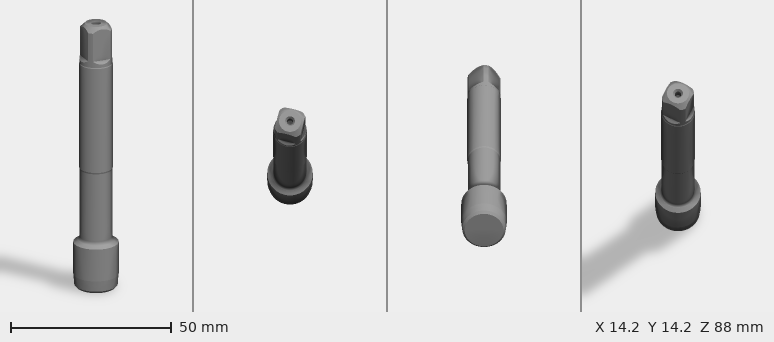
import cadquery as cq
import math

total_length = 88.0

head_diameter = 14.2
head_height = 15.0
taper_height = 4.3
taper_end_diameter = 13.55
end_chamfer_height = 0.8
end_face_diameter = 12.1

shoulder_cone_top = 15.8
shoulder_cone_diameter = 11.5
shoulder_fillet_top = 16.8

neck_diameter = 10.1
shank_diameter = 10.5
collar_diameter = 10.2
shank_bottom = 39.3
shank_top = 74.9
step_chamfer_height = 0.5
collar_chamfer_height = 0.3

square_width = 8.3
square_bottom = 76.9
tip_face_diameter = 6.9

centre_hole_diameter = 2.0
countersink_diameter = 3.1
centre_hole_depth = 3.5
countersink_angle = 60.0
drill_point_angle = 120.0


def cone_height(large_diameter, small_diameter, included_angle):
    """Axial height of a cone between two diameters."""
    return (large_diameter - small_diameter) / 2 / math.tan(math.radians(included_angle / 2))


def make_head():
    """Cylindrical threading head with a lead-in taper, a chamfered end and a shoulder cone on top."""
    return (
        cq.Workplane("XZ")
        .lineTo(end_face_diameter / 2, 0)
        .lineTo(taper_end_diameter / 2, end_chamfer_height)
        .lineTo(head_diameter / 2, taper_height)
        .lineTo(head_diameter / 2, head_height)
        .lineTo(shoulder_cone_diameter / 2, shoulder_cone_top)
        .lineTo(0, shoulder_cone_top)
        .close()
        .revolve(360, (0, 0, 0), (0, 1, 0))
    )


def make_turned_shank():
    """Round blank: shoulder fillet, neck, shank and collar, with a 45 degree cone at the tip."""
    tip_cone_height = (collar_diameter - tip_face_diameter) / 2
    fillet_width = (shoulder_cone_diameter - neck_diameter) / 2
    fillet_height = shoulder_fillet_top - shoulder_cone_top
    fillet_radius = (fillet_width**2 + fillet_height**2) / (2 * fillet_width)
    half_sweep = math.atan2(fillet_width, fillet_height)
    fillet_middle = (
        neck_diameter / 2 + fillet_radius * (1 - math.cos(half_sweep)),
        shoulder_fillet_top - fillet_radius * math.sin(half_sweep),
    )
    return (
        cq.Workplane("XZ")
        .moveTo(0, shoulder_cone_top)
        .lineTo(shoulder_cone_diameter / 2, shoulder_cone_top)
        .threePointArc(fillet_middle, (neck_diameter / 2, shoulder_fillet_top))
        .lineTo(neck_diameter / 2, shank_bottom)
        .lineTo(shank_diameter / 2, shank_bottom + step_chamfer_height)
        .lineTo(shank_diameter / 2, shank_top - collar_chamfer_height)
        .lineTo(collar_diameter / 2, shank_top)
        .lineTo(collar_diameter / 2, total_length - tip_cone_height)
        .lineTo(tip_face_diameter / 2, total_length)
        .lineTo(0, total_length)
        .close()
        .revolve(360, (0, 0, 0), (0, 1, 0))
    )


def make_flat_cutter():
    """Prism that cuts the +X flat of the square, with a 45 degree run-out below it."""
    flat_x = square_width / 2
    outer_x = shank_diameter
    return (
        cq.Workplane("XZ")
        .moveTo(flat_x, total_length)
        .lineTo(flat_x, square_bottom)
        .lineTo(outer_x, square_bottom - (outer_x - flat_x))
        .lineTo(outer_x, total_length)
        .close()
        .extrude(shank_diameter, both=True)
    )


def make_centre_hole():
    """Countersunk blind hole with a drill-point bottom."""
    countersink_depth = cone_height(countersink_diameter, centre_hole_diameter, countersink_angle)
    hole_bottom = total_length - centre_hole_depth
    point_height = cone_height(centre_hole_diameter, 0, drill_point_angle)
    return (
        cq.Workplane("XZ")
        .moveTo(0, total_length)
        .lineTo(countersink_diameter / 2, total_length)
        .lineTo(centre_hole_diameter / 2, total_length - countersink_depth)
        .lineTo(centre_hole_diameter / 2, hole_bottom)
        .lineTo(0, hole_bottom - point_height)
        .close()
        .revolve(360, (0, 0, 0), (0, 1, 0))
    )


def make_shank():
    """Shank with the driving square and the centre hole cut into it."""
    body = make_turned_shank()
    flat_cutter = make_flat_cutter()
    for angle in (0, 90, 180, 270):
        body = body.cut(flat_cutter.rotate((0, 0, 0), (0, 0, 1), angle))
    return body.cut(make_centre_hole())


head = make_head()
shank = make_shank()

result = cq.Compound.makeCompound([head.val(), shank.val()])